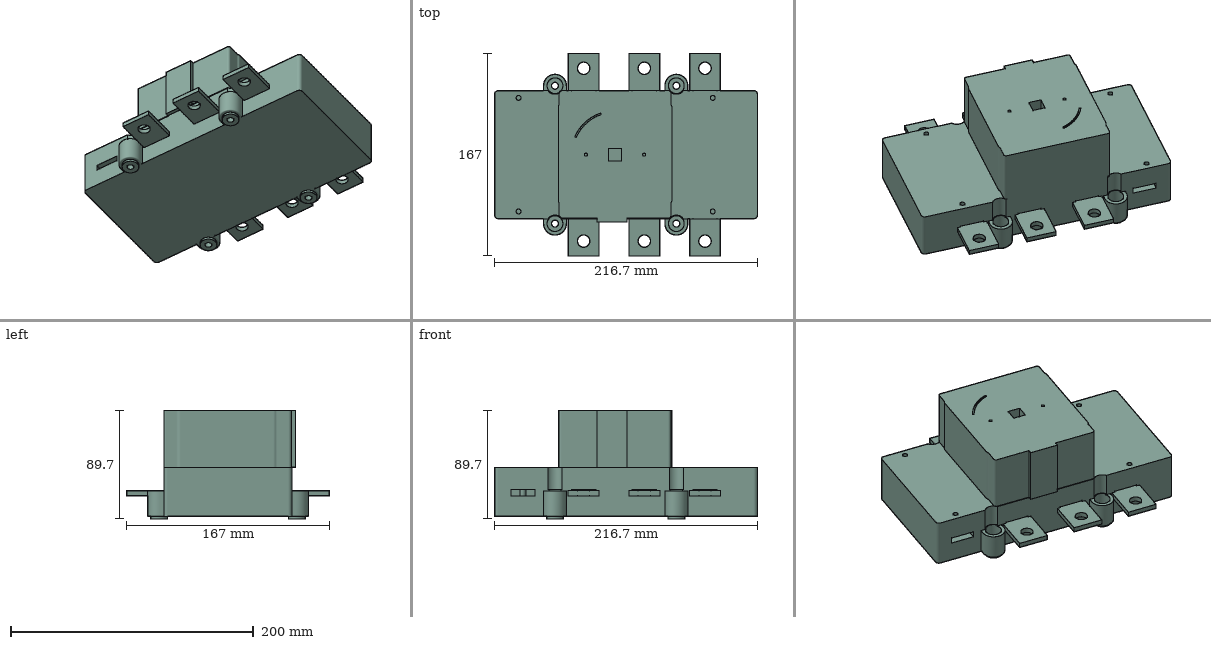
import cadquery as cq
import math


TOTAL_HEIGHT = 89.7
BASE_BOTTOM = 2.2
BASE_TOP = 42.7

BASE_LENGTH = 216.7
BASE_WIDTH = 105.6
BASE_LEFT = -99.8
BASE_CORNER_RADIUS = 3.0
BASE_FRONT_Y = -BASE_WIDTH / 2

SCREW_DIAMETER = 4.0
SCREW_DEPTH = 5.0
SCREW_HALF_SPACING_X = 80.0
SCREW_HALF_SPACING_Y = 46.8

HOUSING_X = -0.5
HOUSING_HALF_WIDTH = 46.8
HOUSING_END_HALF_WIDTH = 46.0
HOUSING_DEPTH = 105.0
HOUSING_BACK_Y = BASE_WIDTH / 2
HOUSING_CORNER_RADIUS = 2.0
STEP_LENGTH = 3.0
BACK_STEP_Y = 40.65
FRONT_STEP_Y = -39.15

RIB_LEFT = -14.7
RIB_WIDTH = 24.6
RIB_FRONT_Y = -55.6

SHAFT_SIDE = 10.5
SHAFT_DEPTH = 20.0
PIN_HOLE_DIAMETER = 2.5
PIN_HOLE_DEPTH = 5.0
PIN_HOLE_OFFSET = 24.0
GROOVE_RADIUS = 35.7
GROOVE_WIDTH = 1.3
GROOVE_DEPTH = 0.5
GROOVE_START_ANGLE = 109.0
GROOVE_END_ANGLE = 156.0

BOSS_HALF_SPACING_X = 50.0
BOSS_HALF_SPACING_Y = 56.8
BOSS_DIAMETER = 19.0
BOSS_TOP = 23.2
BOSS_FILLET = 1.0
FOOT_DIAMETER = 14.0
COUNTERBORE_DIAMETER = 13.0
COUNTERBORE_FLOOR = 7.0
NOTCH_DIAMETER = 14.0
MOUNTING_HOLE_DIAMETER = 5.5

POLE_PITCH = 50.0
EMPTY_POLE_X = -76.4
FITTED_POLES = 3
OPENING_WIDTH = 20.0
OPENING_HEIGHT = 5.0
OPENING_BOTTOM = 19.2
OPENING_TOP = OPENING_BOTTOM + OPENING_HEIGHT
OPENING_DEPTH = 15.0
POST_DIAMETER = 5.0
TAB_SPAN = 167.0
TAB_WIDTH = 25.5
TAB_THICKNESS = 4.2
TAB_HOLE_DIAMETER = 10.0
TAB_HOLE_HALF_SPACING = 71.2


def block(x_min, x_max, y_min, y_max, z_min, z_max):
    """Axis-aligned box given by its limits."""
    size = (x_max - x_min, y_max - y_min, z_max - z_min)
    return cq.Workplane("XY").box(*size, centered=False).translate((x_min, y_min, z_min))


def cylinders(points, diameter, z_min, z_max):
    """Equal vertical cylinders standing at the given points."""
    plane = cq.Workplane("XY").workplane(offset=z_min)
    return plane.pushPoints(points).circle(diameter / 2).extrude(z_max - z_min)


def four_corners(half_x, half_y):
    return [(sx * half_x, sy * half_y) for sx in (-1, 1) for sy in (-1, 1)]


def polar(radius, angle):
    radians = math.radians(angle)
    return radius * math.cos(radians), radius * math.sin(radians)


def make_base():
    half_width = BASE_WIDTH / 2
    base = block(BASE_LEFT, BASE_LEFT + BASE_LENGTH, -half_width, half_width, BASE_BOTTOM, BASE_TOP)
    base = base.edges("|Z").fillet(BASE_CORNER_RADIUS)
    screw_points = four_corners(SCREW_HALF_SPACING_X, SCREW_HALF_SPACING_Y)
    return base.cut(cylinders(screw_points, SCREW_DIAMETER, BASE_TOP - SCREW_DEPTH, BASE_TOP))


def make_housing():
    """Housing whose sides narrow towards both ends through S-shaped steps."""
    height = TOTAL_HEIGHT - BASE_TOP
    wide = HOUSING_HALF_WIDTH
    narrow = HOUSING_END_HALF_WIDTH
    middle = (wide + narrow) / 2
    half_step = STEP_LENGTH / 2
    half_offset = wide - middle
    step_radius = (half_step**2 + half_offset**2) / (2 * half_offset)
    plane = cq.Workplane("XY").workplane(offset=BASE_TOP)

    front_y = HOUSING_BACK_Y - HOUSING_DEPTH
    ends = block(-narrow, narrow, front_y, HOUSING_BACK_Y, BASE_TOP, TOTAL_HEIGHT)
    ends = ends.edges("|Z").fillet(HOUSING_CORNER_RADIUS)
    wide_part = (
        plane.moveTo(wide, FRONT_STEP_Y + half_step)
        .lineTo(wide, BACK_STEP_Y - half_step)
        .radiusArc((middle, BACK_STEP_Y), -step_radius)
        .radiusArc((narrow, BACK_STEP_Y + half_step), step_radius)
        .lineTo(0, BACK_STEP_Y + half_step)
        .lineTo(0, FRONT_STEP_Y - half_step)
        .lineTo(narrow, FRONT_STEP_Y - half_step)
        .radiusArc((middle, FRONT_STEP_Y), step_radius)
        .radiusArc((wide, FRONT_STEP_Y + half_step), -step_radius)
        .close()
        .extrude(height)
    )
    rib = block(RIB_LEFT, RIB_LEFT + RIB_WIDTH, RIB_FRONT_Y, 0, BASE_TOP, TOTAL_HEIGHT)
    housing = ends.union(wide_part).union(wide_part.mirror("YZ")).union(rib)
    housing = housing.cut(make_housing_openings())
    return housing.translate((HOUSING_X, 0, 0))


def make_housing_openings():
    """Square shaft socket, two pin holes and the arc groove swept by the handle."""
    half_side = SHAFT_SIDE / 2
    socket = block(-half_side, half_side, -half_side, half_side, TOTAL_HEIGHT - SHAFT_DEPTH, TOTAL_HEIGHT)
    pin_points = [(-PIN_HOLE_OFFSET, 0), (PIN_HOLE_OFFSET, 0)]
    pin_holes = cylinders(pin_points, PIN_HOLE_DIAMETER, TOTAL_HEIGHT - PIN_HOLE_DEPTH, TOTAL_HEIGHT)

    inner = GROOVE_RADIUS - GROOVE_WIDTH / 2
    outer = GROOVE_RADIUS + GROOVE_WIDTH / 2
    middle_angle = (GROOVE_START_ANGLE + GROOVE_END_ANGLE) / 2
    groove = (
        cq.Workplane("XY")
        .workplane(offset=TOTAL_HEIGHT - GROOVE_DEPTH)
        .moveTo(*polar(inner, GROOVE_START_ANGLE))
        .threePointArc(polar(inner, middle_angle), polar(inner, GROOVE_END_ANGLE))
        .lineTo(*polar(outer, GROOVE_END_ANGLE))
        .threePointArc(polar(outer, middle_angle), polar(outer, GROOVE_START_ANGLE))
        .close()
        .extrude(GROOVE_DEPTH)
    )
    return socket.union(pin_holes).union(groove)


def make_tabs():
    """Terminal tabs resting on the lower edges of the openings of the fitted poles."""
    tabs = cq.Workplane("XY")
    for pole in range(1, FITTED_POLES + 1):
        x = EMPTY_POLE_X + pole * POLE_PITCH
        tab = block(
            x - TAB_WIDTH / 2, x + TAB_WIDTH / 2,
            -TAB_SPAN / 2, TAB_SPAN / 2,
            OPENING_BOTTOM, OPENING_BOTTOM + TAB_THICKNESS,
        )
        hole_points = [(x, -TAB_HOLE_HALF_SPACING), (x, TAB_HOLE_HALF_SPACING)]
        tabs = tabs.add(tab.cut(cylinders(hole_points, TAB_HOLE_DIAMETER, 0, BASE_TOP)))
    return tabs.combine()


def make_pole_openings():
    """Terminal openings in the front and back of the base, with a half-round post on each inner wall."""
    openings = cq.Workplane("XY")
    for pole in range(FITTED_POLES + 1):
        x = EMPTY_POLE_X + pole * POLE_PITCH
        opening = block(
            x - OPENING_WIDTH / 2, x + OPENING_WIDTH / 2,
            BASE_FRONT_Y, BASE_FRONT_Y + OPENING_DEPTH,
            OPENING_BOTTOM, OPENING_TOP,
        )
        post = cylinders([(x, BASE_FRONT_Y + OPENING_DEPTH)], POST_DIAMETER, OPENING_BOTTOM, OPENING_TOP)
        opening = opening.cut(post)
        openings = openings.add(opening).add(opening.mirror("XZ"))
    return openings.combine()


def make_bosses():
    """Round-ended bosses reaching into the base, each with a foot below."""
    radius = BOSS_DIAMETER / 2
    inner_y = BASE_WIDTH / 2 - BASE_CORNER_RADIUS
    bosses = cq.Workplane("XY")
    for x, y in BOSS_POINTS:
        boss = cylinders([(x, y)], BOSS_DIAMETER, BASE_BOTTOM, BOSS_TOP)
        near, far = sorted((math.copysign(inner_y, y), y))
        boss = boss.union(block(x - radius, x + radius, near, far, BASE_BOTTOM, BOSS_TOP))
        bosses = bosses.add(boss.faces("<Z").edges().fillet(BOSS_FILLET))
    return bosses.combine().union(cylinders(BOSS_POINTS, FOOT_DIAMETER, 0, BOSS_TOP))


def make_mounting_holes():
    """Through holes, counterbores and the notches above them in the base."""
    holes = cylinders(BOSS_POINTS, MOUNTING_HOLE_DIAMETER, 0, BASE_TOP)
    counterbores = cylinders(BOSS_POINTS, COUNTERBORE_DIAMETER, COUNTERBORE_FLOOR, BASE_TOP)
    notches = cylinders(BOSS_POINTS, NOTCH_DIAMETER, OPENING_TOP, BASE_TOP)
    return holes.union(counterbores).union(notches)


BOSS_POINTS = four_corners(BOSS_HALF_SPACING_X, BOSS_HALF_SPACING_Y)

result = (
    make_base()
    .cut(make_pole_openings())
    .union(make_bosses())
    .cut(make_mounting_holes())
    .union(make_tabs())
    .union(make_housing())
)